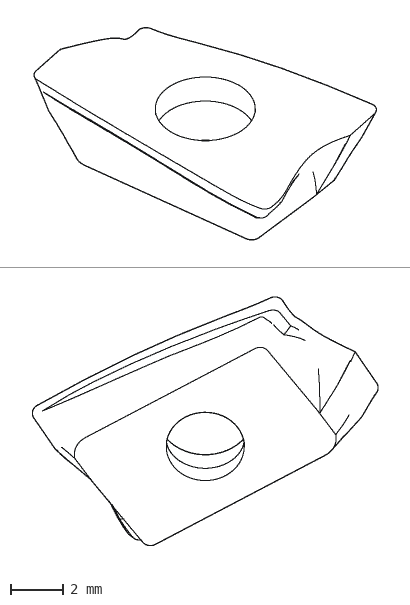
import cadquery as cq
import math


TOP_Z = 3.6
SEAT_Z = 2.78
NOSE_Z = 2.32
HALF_WIDTH = 3.342
BOW_RADIUS = 71.4

END_X = 6.0
END_FOOT_X = 4.58
END_SLOPE = (END_X - END_FOOT_X) / TOP_Z

LAND_END_Z = 3.07
LAND_END_X = END_X - END_SLOPE * (TOP_Z - LAND_END_Z)
LAND_HALF_WIDTH = 3.06
LAND_CORNER_RADIUS = 0.4

BODY_HALF_LENGTH = 4.4
BODY_SKEW = math.tan(math.radians(5))
BODY_END_SLOPE = math.tan(math.radians(14.5))
NOSE_CORNER_RADIUS = 0.36
BODY_LEVELS = [
    (0.0, 2.69, 0.86),
    (1.6, 3.0, 0.73),
    (2.17, 3.06, 0.5),
    (LAND_END_Z, LAND_HALF_WIDTH, LAND_CORNER_RADIUS),
]

ARM_LENGTH = 1.68
ARM_INNER_Y = 1.1

FACET_LENGTH = 6.0
FACET_WIDTH = 7.2
FACET_DEPTH = 2.4

BORE_RADIUS = 1.49
HEAD_RADIUS = 1.91
HEAD_FLOOR_Z = 1.6
THROAT_Z = 0.6

PLAN_STEPS = 8


def half_turn(point):
    return (-point[0], -point[1], point[2])


def spline(*points):
    return cq.Edge.makeSpline([cq.Vector(*point) for point in points])


def line(start, end):
    return cq.Edge.makeLine(cq.Vector(*start), cq.Vector(*end))


def arc(start, middle, end):
    return cq.Edge.makeThreePointArc(cq.Vector(*start), cq.Vector(*middle), cq.Vector(*end))


def turned(feature):
    return feature.rotate(cq.Vector(0, 0, 0), cq.Vector(0, 0, 1), 180)


def closed_loop(half):
    """Complete a half loop of edges with its copy half a turn round."""
    return half + [turned(edge) for edge in half]


def on_bow(x, z):
    """Point on the bowed long cutting edge at -Y."""
    return (x, x * x / (2 * BOW_RADIUS) - HALF_WIDTH, z)


def on_end(y, z):
    """Point on the flat end face at -X."""
    return (-END_FOOT_X - END_SLOPE * z, y, z)



def seat_loop():
    high_start = (-2.09, -1.19, SEAT_Z)
    high_end = (-1.82, -1.44, SEAT_Z)
    nose_start = (1.56, -1.35, SEAT_Z)
    nose_end = (1.68, -1.2, SEAT_Z)
    wave_start = (1.93, -0.75, SEAT_Z)
    wave_end = (2.33, 0.53, SEAT_Z)
    return closed_loop([
        arc(high_start, (-1.98, -1.33, SEAT_Z), high_end),
        arc(high_end, (0, -2.09, SEAT_Z), nose_start),
        arc(nose_start, (1.63, -1.28, SEAT_Z), nose_end),
        arc(nose_end, (1.82, -0.97, SEAT_Z), wave_start),
        arc(wave_start, (2.25, -0.24, SEAT_Z), wave_end),
        arc(wave_end, (2.27, 0.88, SEAT_Z), half_turn(high_start)),
    ])


def rim_loop():
    high_start = (-END_X, -2.7, TOP_Z)
    high_end = on_bow(-5.59, TOP_Z)
    nose_start = on_bow(4.8, NOSE_Z)
    nose_end = (5.15, -2.81, NOSE_Z)
    wave_start = (5.15, -1.95, 2.45)
    wave_end = (END_X, 1.12, TOP_Z)
    return closed_loop([
        arc(high_start, (-5.88, -3.0, TOP_Z), high_end),
        spline(high_end, on_bow(-2.88, 3.32), on_bow(0, 2.98), on_bow(3, 2.5), on_bow(3.96, 2.35), nose_start),
        arc(nose_start, (5.05, -3.07, NOSE_Z), nose_end),
        spline(nose_end, (5.15, -2.34, NOSE_Z), wave_start),
        spline(wave_start, (5.18, -1.25, 2.96), (5.33, -0.32, 3.38), (5.55, 0.24, 3.52), wave_end),
        line(wave_end, half_turn(high_start)),
    ])


def land_loop():
    corner_x = -LAND_END_X + LAND_CORNER_RADIUS
    corner_y = -LAND_HALF_WIDTH + LAND_CORNER_RADIUS
    diagonal = LAND_CORNER_RADIUS * math.sqrt(0.5)
    high_start = (-LAND_END_X, corner_y, LAND_END_Z)
    high_end = (corner_x, -LAND_HALF_WIDTH, LAND_END_Z)
    nose_start = (4.6, -3.05, 1.67)
    nose_end = (4.93, -2.71, 1.79)
    wave_start = (4.97, -1.95, 1.87)
    wave_end = (LAND_END_X, 1.14, LAND_END_Z)
    return closed_loop([
        arc(high_start, (corner_x - diagonal, corner_y - diagonal, LAND_END_Z), high_end),
        spline(high_end, (-4.2, -3.17, 3.01), (-2.87, -3.23, 2.89), (0, -3.26, 2.48),
               (2.18, -3.23, 2.06), nose_start),
        arc(nose_start, (4.84, -2.94, 1.69), nose_end),
        spline(nose_end, (4.95, -2.34, 1.81), wave_start),
        spline(wave_start, (5.03, -1.25, 2.44), (5.18, -0.32, 2.85), (5.4, 0.24, 3.01), wave_end),
        line(wave_end, half_turn(high_start)),
    ])


def foot_loop():
    """Where the undercut walls below the land would meet the bottom plane."""
    high_start = on_end(-1.44, 0)
    high_end = (-4.38, -1.32, 0)
    nose_start = (2.82, -1.78, 0)
    nose_end = (2.98, -1.73, 0)
    wave_start = (3.04, -1.62, 0)
    wave_end = half_turn(on_end(-1.22, 0))
    return closed_loop([
        arc(high_start, (-4.5, -1.4, 0), high_end),
        spline(high_end, (0, -1.38, 0), nose_start),
        arc(nose_start, (2.92, -1.76, 0), nose_end),
        line(nose_end, wave_start),
        spline(wave_start, (4.08, 0.18, 0), wave_end),
        line(wave_end, half_turn(high_start)),
    ])


def flattened(loop):
    """A loop dropped straight down onto the bottom plane."""
    dropped = []
    for edge in loop:
        points = [edge.positionAt(step / PLAN_STEPS) for step in range(PLAN_STEPS + 1)]
        dropped.append(spline(*[(point.x, point.y, 0) for point in points]))
    return dropped


def skin(loops):
    """Solid with ruled walls between matching loops, flat at its first and last loop."""
    faces = [cq.Face.makeFromWires(cq.Wire.assembleEdges(loop)) for loop in (loops[0], loops[-1])]
    for upper, lower in zip(loops, loops[1:]):
        faces += [cq.Face.makeRuledSurface(a, b) for a, b in zip(upper, lower)]
    return cq.Workplane(obj=cq.Solid.makeSolid(cq.Shell.makeShell(faces)))


def section(corners, z):
    """Closed polygon at height z from (x, y, corner radius) entries; radius 0 stays sharp."""
    outline = cq.Wire.makePolygon([cq.Vector(x, y, z) for x, y, _ in corners], close=True)
    face = cq.Face.makeFromWires(outline)
    for x, y, radius in corners:
        if radius > 0:
            nearest = min(face.Vertices(), key=lambda v: math.hypot(v.X - x, v.Y - y))
            face = face.fillet2D(radius, [nearest])
    return face.outerWire()


def ruled_loft(wires):
    return cq.Workplane(obj=cq.Solid.makeLoft(wires, True))


def core():
    """Skewed block that forms the long sides and the ends under the noses."""
    foot_radius = BODY_LEVELS[0][2]
    wires = []
    for z, half_width, _ in BODY_LEVELS:
        reach = BODY_HALF_LENGTH + BODY_END_SLOPE * z
        shift = BODY_SKEW * half_width
        wires.append(section([
            (-reach - shift, -half_width, foot_radius),
            (reach - shift, -half_width, NOSE_CORNER_RADIUS),
            (reach + shift, half_width, foot_radius),
            (-reach + shift, half_width, NOSE_CORNER_RADIUS),
        ], z))
    return ruled_loft(wires)


def arm():
    """Block behind the flat end at -X, with a rounded corner that widens downwards."""
    wires = []
    for z, half_width, corner_radius in BODY_LEVELS:
        end_x = -END_FOOT_X - END_SLOPE * z
        wires.append(section([
            (end_x, -half_width, corner_radius),
            (end_x + ARM_LENGTH, -half_width, 0),
            (end_x + ARM_LENGTH, -ARM_INNER_Y, 0),
            (end_x, -ARM_INNER_Y, 0),
        ], z))
    return ruled_loft(wires)


def end_facet():
    """Block that trims the lower inner corner of the flat end at -X."""
    foot = cq.Vector(-4.49, -1.08, 0)
    inner = cq.Vector(*on_end(-1.19, 2.41))
    outer = cq.Vector(*on_end(-2.09, 1.4))
    upward = inner - foot
    facet = cq.Plane(origin=foot, xDir=upward, normal=(outer - foot).cross(upward))
    return cq.Workplane(facet).rect(FACET_LENGTH, FACET_WIDTH).extrude(FACET_DEPTH)


def screw_hole():
    """Bore with a seat that curves out of the bore wall up to the head wall."""
    rise = HEAD_FLOOR_Z - THROAT_Z
    step = HEAD_RADIUS - BORE_RADIUS
    seat_radius = (rise ** 2 + step ** 2) / (2 * step)
    half_angle = math.asin(rise / seat_radius) / 2
    seat_middle = (
        BORE_RADIUS + seat_radius * (1 - math.cos(half_angle)),
        THROAT_Z + seat_radius * math.sin(half_angle),
    )
    return (
        cq.Workplane("XZ")
        .lineTo(BORE_RADIUS, 0)
        .lineTo(BORE_RADIUS, THROAT_Z)
        .threePointArc(seat_middle, (HEAD_RADIUS, HEAD_FLOOR_Z))
        .lineTo(HEAD_RADIUS, TOP_Z)
        .lineTo(0, TOP_Z)
        .close()
        .revolve(360, (0, 0), (0, 1))
    )


seat = seat_loop()
rim = rim_loop()

cap = skin([seat, rim, land_loop(), foot_loop()])

below_top = skin([seat, rim, flattened(rim)])

result = cap
for block in (arm(), turned(arm()), core()):
    result = result.union(block.intersect(below_top))
result = result.cut(end_facet()).cut(turned(end_facet()))
result = result.cut(screw_hole())